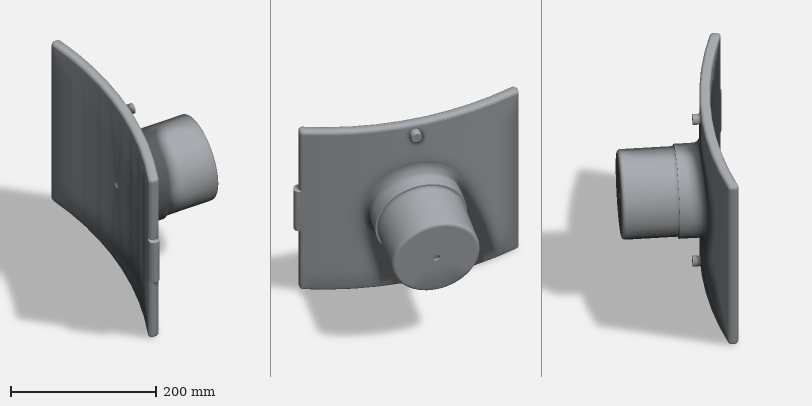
import cadquery as cq

plate_width = 313.0
plate_height = 300.0
plate_thickness = 15.0
front_radius = 457.5
back_radius = front_radius + plate_thickness
left_front_radius = 6.5
upright_edge_radius = 5.0
rim_radius = 4.8

tab_end = 320 - plate_width / 2
tab_height = 75.0
tab_root = 144.0
tab_front_radius = 7.0
tab_back_radius = 4.8

boss_diameter = 131.2
boss_end = 48.5
boss_root_radius = 9.3
pipe_diameter = 125.0
pipe_end = 127.5
pipe_edge_radius = 4.8

pin_diameter = 15.0
pin_end = 26.0
pin_offset = 134.7

center_hole_diameter = 10.0
overlap = 3.2


def cylinder_along_y(diameter, start, end, z=0.0):
    return (
        cq.Workplane("XZ", origin=(0, start, z))
        .circle(diameter / 2)
        .extrude(start - end)
    )


def curved_band(left, right, height):
    """Part of the cylindrical shell between two planes of constant X."""
    shell = (
        cq.Workplane("XY", origin=(0, -front_radius, -height / 2))
        .circle(back_radius)
        .circle(front_radius)
        .extrude(height)
    )
    window = cq.Workplane("XY").box(
        right - left, front_radius, height, centered=(False, True, True)
    ).translate((left, 0, 0))
    return shell.intersect(window)


def make_plate():
    band = curved_band(-plate_width / 2, plate_width / 2, plate_height)
    band = band.faces("<X").edges("|Z").edges("<Y").fillet(left_front_radius)
    band = band.faces("<X").edges("|Z").edges(">Y").fillet(upright_edge_radius)
    band = band.faces(">X").edges("|Z").fillet(upright_edge_radius)
    return band.faces("|Z").edges().fillet(rim_radius)


def make_tab():
    tab = curved_band(tab_root, tab_end, tab_height)
    tab = tab.faces(">X").edges("|Z").edges("<Y").fillet(tab_front_radius)
    return tab.faces(">X").edges("|Z").edges(">Y").fillet(tab_back_radius)


def make_pipe():
    pipe = cylinder_along_y(pipe_diameter, plate_thickness, pipe_end)
    return pipe.faces(">Y").edges().fillet(pipe_edge_radius)


sink = plate_thickness / 2 - overlap

boss = cylinder_along_y(boss_diameter, -front_radius / 2, boss_end)
hollow_side = (
    cq.Workplane("XY", origin=(0, -front_radius, -plate_height / 2))
    .circle(front_radius + sink)
    .extrude(plate_height)
)
boss = boss.cut(hollow_side)

result = make_plate().union(boss)
boss_root = cq.selectors.BoxSelector(
    (-boss_diameter, 0, -boss_diameter),
    (boss_diameter, plate_thickness + overlap, boss_diameter),
)
root_edges = result.edges(boss_root).edges("not %CIRCLE").edges("not %LINE")
result = root_edges.fillet(boss_root_radius)

result = result.union(make_pipe()).union(make_tab())
for pin_z in (-pin_offset, pin_offset):
    result = result.union(cylinder_along_y(pin_diameter, sink, pin_end, pin_z))
result = result.cut(cylinder_along_y(center_hole_diameter, -overlap, pipe_end + overlap))